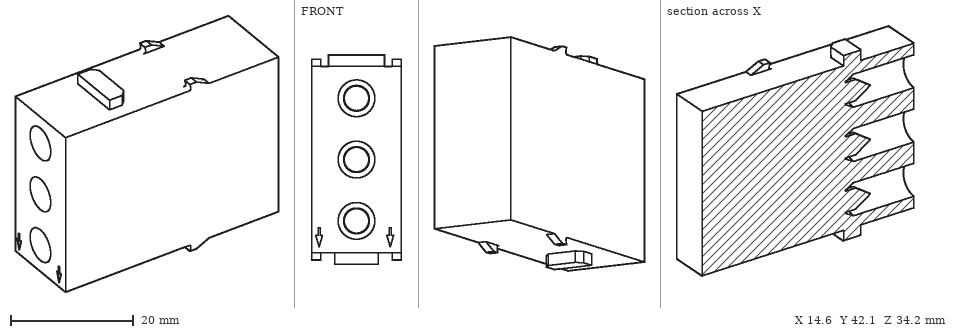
import cadquery as cq
import math

WIDTH = 14.6
LENGTH = 42.0
HEIGHT = 30.4
OVERALL_HEIGHT = 34.2

BORE_COUNT = 3
BORE_PITCH = 10.0
BORE_DIAMETER = 6.0
BORE_DEPTH = 12.0
BORE_END_DIAMETER = 4.2
BORE_END_HALF_ANGLE = 30.0
PIN_DIAMETER = 4.0
PIN_SHANK_LENGTH = 2.0
PIN_TIP_LENGTH = 3.0

KEY_HEIGHT = (OVERALL_HEIGHT - HEIGHT) / 2
KEY_FRONT = 10.5
KEY_DEPTH = 3.5
KEY_CHAMFER = 1.0
TOP_KEY_WIDTH = 9.2
BOTTOM_KEY_WIDTH = 7.1

CATCH_WIDTH = 1.5
CATCH_HEIGHT = 1.2
CATCH_TIP = 24.5
CATCH_CREST_LENGTH = 1.3
CATCH_RAMP_END = 28.3
CATCH_UNDERCUT_ANGLE = 15.0
CATCH_ROOT_RADIUS = 0.4

ARROW_RELIEF = 0.1
ARROW_XS = (-6.1, 5.5)
ARROW_TIP_Z = -14.25
ARROW_LENGTH = 3.1
ARROW_HEAD_LENGTH = 1.9
ARROW_HEAD_WIDTH = 1.1
ARROW_SHAFT_WIDTH = 0.3


def make_block():
    return cq.Workplane("XY").box(WIDTH, LENGTH, HEIGHT).translate((0, LENGTH / 2, 0))


def make_bore(z):
    """Bore with a conical floor and a pointed pin left standing on its axis."""
    bore_radius = BORE_DIAMETER / 2
    end_radius = BORE_END_DIAMETER / 2
    pin_radius = PIN_DIAMETER / 2
    floor_length = (bore_radius - end_radius) / math.tan(math.radians(BORE_END_HALF_ANGLE))
    pin_base = BORE_DEPTH + floor_length
    pin_shoulder = pin_base - PIN_SHANK_LENGTH
    profile = (
        cq.Workplane("XY")
        .moveTo(0, 0)
        .lineTo(bore_radius, 0)
        .lineTo(bore_radius, BORE_DEPTH)
        .lineTo(end_radius, pin_base)
        .lineTo(pin_radius, pin_base)
        .lineTo(pin_radius, pin_shoulder)
        .lineTo(0, pin_shoulder - PIN_TIP_LENGTH)
        .close()
    )
    return profile.revolve(360, (0, 0, 0), (0, 1, 0)).translate((0, 0, z))


def make_key(width, side):
    """Coding key with its two rear corners chamfered; side is +1 for top, -1 for bottom."""
    key = (
        cq.Workplane("XY")
        .box(width, KEY_DEPTH, KEY_HEIGHT)
        .edges("|Z and >Y")
        .chamfer(KEY_CHAMFER)
    )
    return key.translate((0, KEY_FRONT + KEY_DEPTH / 2, side * (HEIGHT + KEY_HEIGHT) / 2))


def make_catch(x_side, z_side):
    """Snap catch with a rear ramp, a flat crest, an undercut front face and a root fillet."""
    undercut = math.radians(CATCH_UNDERCUT_ANGLE)
    radius = CATCH_ROOT_RADIUS
    fillet_top_z = radius * (1 + math.sin(undercut))
    fillet_top_y = CATCH_TIP + (CATCH_HEIGHT - fillet_top_z) * math.tan(undercut)
    fillet_center_y = fillet_top_y - radius * math.cos(undercut)
    middle_angle = (undercut - math.pi / 2) / 2
    fillet_middle = (
        fillet_center_y + radius * math.cos(middle_angle),
        radius + radius * math.sin(middle_angle),
    )
    catch = (
        cq.Workplane("YZ")
        .moveTo(fillet_center_y, 0)
        .lineTo(CATCH_RAMP_END, 0)
        .lineTo(CATCH_TIP + CATCH_CREST_LENGTH, CATCH_HEIGHT)
        .lineTo(CATCH_TIP, CATCH_HEIGHT)
        .lineTo(fillet_top_y, fillet_top_z)
        .threePointArc(fillet_middle, (fillet_center_y, 0))
        .close()
        .extrude(CATCH_WIDTH / 2, both=True)
        .translate((x_side * (WIDTH - CATCH_WIDTH) / 2, 0, HEIGHT / 2))
    )
    return catch if z_side > 0 else catch.mirror("XY")


def make_arrow(x):
    head_top = ARROW_TIP_Z + ARROW_HEAD_LENGTH
    shaft_top = ARROW_TIP_Z + ARROW_LENGTH
    half_head = ARROW_HEAD_WIDTH / 2
    half_shaft = ARROW_SHAFT_WIDTH / 2
    outline = [
        (0, ARROW_TIP_Z),
        (half_head, head_top),
        (half_shaft, head_top),
        (half_shaft, shaft_top),
        (-half_shaft, shaft_top),
        (-half_shaft, head_top),
        (-half_head, head_top),
    ]
    return cq.Workplane("XZ").polyline(outline).close().extrude(ARROW_RELIEF).translate((x, 0, 0))


result = make_block()
result = result.union(make_key(TOP_KEY_WIDTH, 1)).union(make_key(BOTTOM_KEY_WIDTH, -1))

for x_side in (-1, 1):
    for z_side in (-1, 1):
        result = result.union(make_catch(x_side, z_side))

for arrow_x in ARROW_XS:
    result = result.union(make_arrow(arrow_x))

for index in range(BORE_COUNT):
    bore_z = (index - (BORE_COUNT - 1) / 2) * BORE_PITCH
    result = result.cut(make_bore(bore_z))